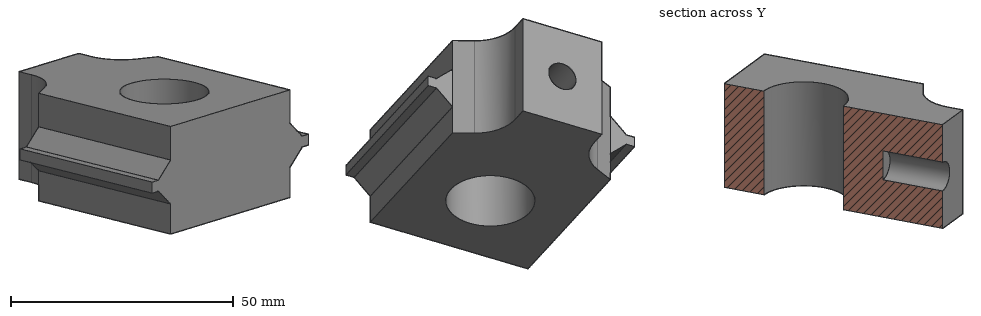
import cadquery as cq
import math

length = 55.0
width_over_rails = 52.3
body_width = 40.0
height = 25.2

neck_width = body_width / 2
shoulder_x = 15.0
neck_straight = 3.85
shoulder_radius = (body_width - neck_width) / 2

bore_diameter = 20.0
bore_x = 35.0

neck_hole_diameter = 6.9
neck_hole_depth = 15.0

rail_root_height = 10.3
tongue_height = 2.6
tongue_length = 2.1
rail_z = -0.4


def make_body():
    half_neck = neck_width / 2
    half_body = body_width / 2

    tangent_angle = math.acos(shoulder_radius / (shoulder_x - neck_straight))

    def arc_point(angle):
        x = neck_straight + shoulder_radius * math.cos(angle)
        y = half_body - shoulder_radius * math.sin(angle)
        return x, y

    arc_end = arc_point(tangent_angle)
    arc_middle = arc_point((tangent_angle + math.pi / 2) / 2)
    half_outline = (
        cq.Workplane("XY", origin=(0, 0, -height / 2))
        .lineTo(0, half_neck)
        .lineTo(neck_straight, half_neck)
        .threePointArc(arc_middle, arc_end)
        .lineTo(shoulder_x, half_body)
        .lineTo(length, half_body)
        .lineTo(length, 0)
        .close()
    )
    half = half_outline.extrude(height)
    return half.union(half.mirror("XZ"))


def make_rails():
    root_y = body_width / 2
    tip_y = width_over_rails / 2
    tongue_y = tip_y - tongue_length
    root_z = rail_root_height / 2
    tongue_z = tongue_height / 2
    upper = [(root_y, root_z), (tongue_y, tongue_z), (tip_y, tongue_z)]
    right_side = upper + [(y, -z) for y, z in reversed(upper)]
    left_side = [(-y, -z) for y, z in right_side]
    return (
        cq.Workplane("YZ", origin=(shoulder_x, 0, rail_z))
        .polyline(right_side + left_side)
        .close()
        .extrude(length - shoulder_x)
    )


def make_bore():
    return (
        cq.Workplane("XY", origin=(bore_x, 0, -height / 2))
        .circle(bore_diameter / 2)
        .extrude(height)
    )


def make_neck_hole():
    return cq.Workplane("YZ").circle(neck_hole_diameter / 2).extrude(neck_hole_depth)


result = make_body().union(make_rails()).cut(make_bore()).cut(make_neck_hole())